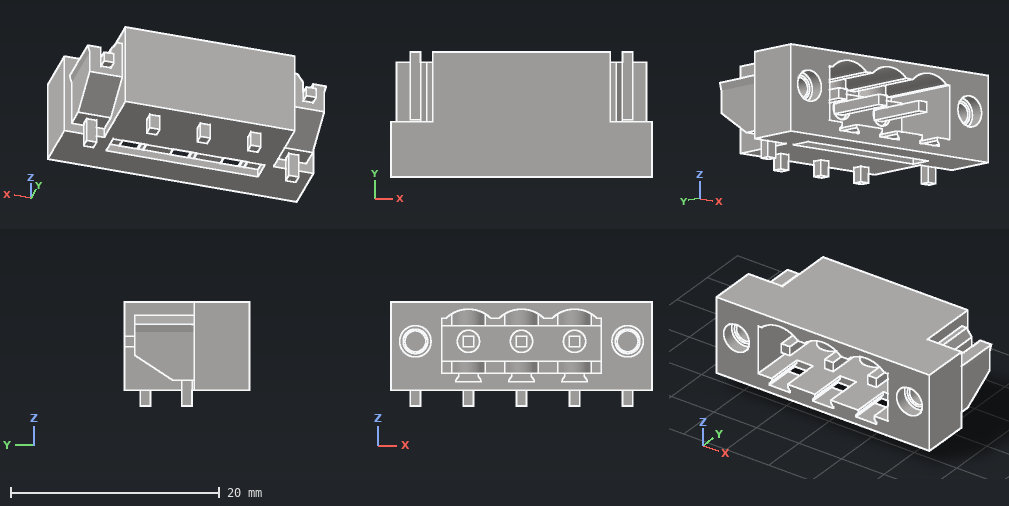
import cadquery as cq

length = 25.05
depth = 12.0
height = 8.5
leg_length = 1.5
flange_depth = 5.3
block_width = 17.03

contact_count = 3
pitch = 5.08
pin_size = 1.0
axis_z = 4.7
contact_tip_y = 1.0
contact_leg_y = 10.0
contact_xs = [(i - (contact_count - 1) / 2) * pitch for i in range(contact_count)]
contact_hole_diameter = 2.13
contact_hole_depth = 0.5

anchor_x = (contact_count + 1) / 2 * pitch
anchor_xs = (-anchor_x, anchor_x)
anchor_leg_y = 6.0

cavity_width = contact_count * pitch
cavity_floor_z = 1.65
cavity_ceiling_z = 6.94
cavity_depth = 8.51
arch_radius = 3.08
bar_bottom_z = 2.8
bar_top_z = 6.18
bar_front_y = 7.0
column_front_y = 7.19
column_arc_end_y = 7.85
column_arc_width = 2.45
column_base_width = 3.23

keyway_neck_width = 1.88
keyway_base_width = 2.4
keyway_base_z = 0.83
keyway_flank_bottom_z = 1.0
keyway_flank_top_z = 1.35
keyway_length = 4.18

underside_start_y = 3.13
underside_end_y = flange_depth

insert_diameter = 3.0
insert_recess = 1.33
insert_length = 3.0
thread_diameter = 2.0
thread_depth = 2.25
countersink_diameter = 2.35
countersink_depth = 0.1

wing_half_span = 12.0
wing_rear_y = 11.02
wing_crest_x = 9.1
wing_crest_z = 7.19
wing_shelf_z = 6.34
wing_lip_z = 5.58
wing_lip_inset = 0.2
wing_bottom_z = 0.98
wing_slope_start_y = 7.35
wing_slope_end_z = 3.38


def box_between(x_range, y_range, z_range):
    """Box given by its lower and upper limit along each axis."""
    size = [high - low for low, high in (x_range, y_range, z_range)]
    corner = (x_range[0], y_range[0], z_range[0])
    return cq.Workplane("XY").box(*size, centered=False).translate(corner)


def around(center, width):
    """Limits of a span of the given width about a center."""
    return (center - width / 2, center + width / 2)


def cylinder_along_y(x, start_y, end_y, diameter):
    """Cylinder on the contact axis height, running in +Y."""
    disc = cq.Workplane("XZ", origin=(x, start_y, axis_z)).circle(diameter / 2)
    return disc.extrude(start_y - end_y)


def bent_pin(x, start_y, end_y, leg_y):
    """Square wire: a horizontal run along Y with a leg down through the board."""
    run = box_between(around(x, pin_size), (start_y, end_y), around(axis_z, pin_size))
    leg = box_between(around(x, pin_size), around(leg_y, pin_size), (-leg_length, axis_z))
    return run.union(leg)


def make_contact(x):
    return bent_pin(x, contact_tip_y, contact_leg_y + pin_size / 2, contact_leg_y)


def make_anchor(x):
    return bent_pin(x, anchor_leg_y - pin_size / 2, depth, anchor_leg_y)


def make_insert(x):
    """Bushing with a blind countersunk bore, set back from the mating face."""
    bushing = cylinder_along_y(x, insert_recess, insert_recess + insert_length, insert_diameter)
    bore = cylinder_along_y(x, insert_recess, insert_recess + thread_depth, thread_diameter)
    countersink = (
        cq.Workplane("XZ", origin=(x, insert_recess, axis_z))
        .circle(countersink_diameter / 2)
        .workplane(offset=-countersink_depth)
        .circle(thread_diameter / 2)
        .loft(ruled=True)
    )
    return bushing.cut(bore).cut(countersink)


def wing_shape():
    """Wing on the +X side: stepped cross-section with its lower rear corner cut away."""
    wing = (
        cq.Workplane("XZ", origin=(0, flange_depth, 0))
        .moveTo(block_width / 2, wing_bottom_z)
        .lineTo(block_width / 2, wing_crest_z)
        .lineTo(wing_crest_x, wing_crest_z)
        .lineTo(anchor_x - pin_size / 2, wing_shelf_z)
        .lineTo(wing_half_span, wing_shelf_z)
        .lineTo(wing_half_span - wing_lip_inset, wing_lip_z)
        .lineTo(wing_half_span - wing_lip_inset, wing_bottom_z)
        .close()
        .extrude(flange_depth - wing_rear_y)
    )
    corner = (
        cq.Workplane("YZ")
        .moveTo(wing_slope_start_y, wing_bottom_z)
        .lineTo(wing_rear_y, wing_slope_end_z)
        .lineTo(wing_rear_y, wing_bottom_z)
        .close()
        .extrude(length)
    )
    slot = box_between(
        around(anchor_x, pin_size), (anchor_leg_y - pin_size / 2, depth), (axis_z, wing_shelf_z)
    )
    return wing.cut(corner).cut(slot)


def cavity_shape():
    """Plug cavity: a rectangle with an arch over each contact."""
    z_range = (cavity_floor_z, cavity_ceiling_z)
    cavity = box_between(around(0, cavity_width), (0, cavity_depth), z_range)
    upper_half = box_between(around(0, cavity_width), (0, cavity_depth), (axis_z, height))
    for x in contact_xs:
        arch = cylinder_along_y(x, 0, cavity_depth, 2 * arch_radius)
        cavity = cavity.union(arch.intersect(upper_half))
    return cavity


def column_shape(x):
    """Upright rib on the cavity's rear wall: rounded nose with sloping sides."""
    return (
        cq.Workplane("XY", origin=(x, 0, cavity_floor_z))
        .moveTo(-column_base_width / 2, cavity_depth)
        .lineTo(-column_arc_width / 2, column_arc_end_y)
        .threePointArc((0, column_front_y), (column_arc_width / 2, column_arc_end_y))
        .lineTo(column_base_width / 2, cavity_depth)
        .close()
        .extrude(height - cavity_floor_z)
    )


def keyway_shape(x):
    """Dovetail groove in the cavity floor, starting at the mating face."""
    half_neck = keyway_neck_width / 2
    half_base = keyway_base_width / 2
    left_side = [
        (-half_neck, cavity_floor_z),
        (-half_neck, keyway_flank_top_z),
        (-half_base, keyway_flank_bottom_z),
        (-half_base, keyway_base_z),
    ]
    right_side = [(-u, v) for u, v in reversed(left_side)]
    groove = cq.Workplane("XZ", origin=(x, 0, 0)).polyline(left_side + right_side).close()
    return groove.extrude(-keyway_length)


def make_housing(inner_bodies):
    flange = box_between(around(0, length), (0, flange_depth), (0, height))
    block = box_between(around(0, block_width), (0, depth), (0, height))
    wing = wing_shape()
    housing = flange.union(block).union(wing).union(wing.mirror("YZ"))

    cavity = cavity_shape()
    bar = box_between(
        around(0, cavity_width), (bar_front_y, cavity_depth), (bar_bottom_z, bar_top_z)
    )
    opening = cavity.cut(bar)
    for x in contact_xs:
        opening = opening.cut(column_shape(x))
    housing = housing.cut(opening)

    underside = box_between(
        around(0, cavity_width), (underside_start_y, underside_end_y), (0, keyway_base_z)
    )
    housing = housing.cut(underside)

    for x in contact_xs:
        housing = housing.cut(keyway_shape(x))
        clearance = cylinder_along_y(
            x, bar_front_y, bar_front_y + contact_hole_depth, contact_hole_diameter
        )
        housing = housing.cut(clearance)

    for x in anchor_xs:
        housing = housing.cut(cylinder_along_y(x, 0, insert_recess + insert_length, insert_diameter))

    for body in inner_bodies:
        housing = housing.cut(body)
    return housing


contacts = [make_contact(x) for x in contact_xs]
anchors = [make_anchor(x) for x in anchor_xs]
inserts = [make_insert(x) for x in anchor_xs]
housing = make_housing(contacts + anchors)

result = cq.Compound.makeCompound(
    [housing.val(), *[body.val() for body in contacts + anchors + inserts]]
)